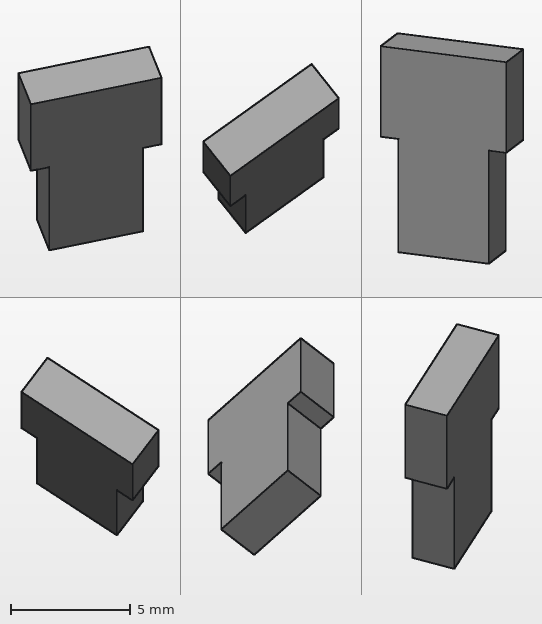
import cadquery as cq

thickness = 1.9
head_width = 5.7
total_height = 9.0
head_height = 4.0
shoulder = 0.8

stem_width = head_width - 2 * shoulder
stem_height = total_height - head_height


def centred_block(width, height, base_z):
    """Block of the common thickness, centred in X and Y, standing on base_z."""
    return (
        cq.Workplane("XY")
        .workplane(offset=base_z)
        .rect(thickness, width)
        .extrude(height)
    )


stem = centred_block(stem_width, stem_height, 0)
head = centred_block(head_width, head_height, stem_height)

result = stem.union(head).clean()